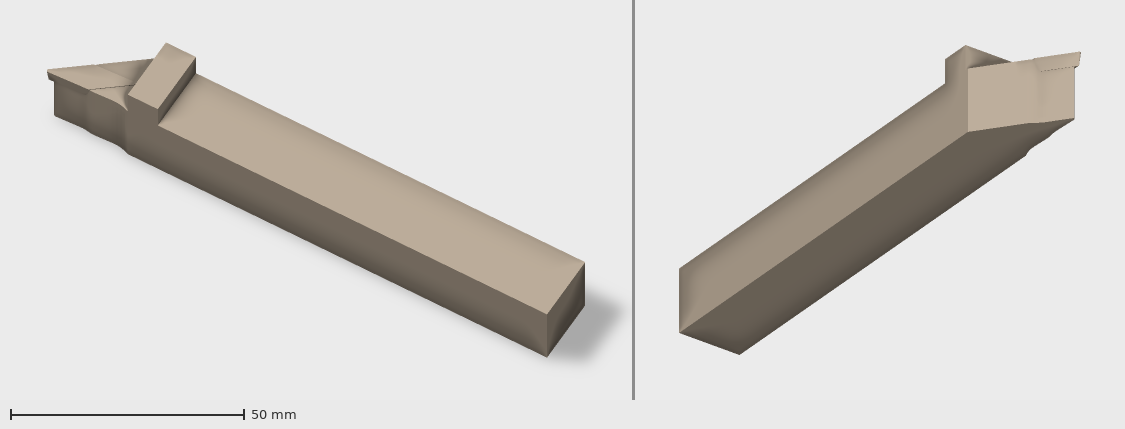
import cadquery as cq
import math

LENGTH = 125.0
SHANK_SIZE = 16.0
TOTAL_HEIGHT = 22.0
STOP_START = 20.4
STOP_WIDTH = 7.5

POINT_ANGLE = 35.0
LEAD_ANGLE = 3.0
RHOMBUS_HEIGHT = 6.4
INSERT_THICKNESS = 3.2
NOSE_RADIUS = 0.4
CLEARANCE_ANGLE = 7.0

HEAD_HEIGHT = 15.8
SEAT_SETBACK = 0.5
FRONT_STANDOUT = 0.0
BACK_STANDOUT = 0.1
BLEND_START = 8.9
BLEND_END = 12.8
FRONT_RUNOUT_X = 16.1
TIP_BACK_X = 1.4
TIP_FRONT_X = 1.8

FRONT_ANGLE = math.radians(LEAD_ANGLE)
BACK_ANGLE = math.radians(LEAD_ANGLE + POINT_ANGLE)
HALF_POINT = math.radians(POINT_ANGLE / 2)
AXIS_ANGLE = (FRONT_ANGLE + BACK_ANGLE) / 2
EDGE_LENGTH = RHOMBUS_HEIGHT / math.sin(2 * HALF_POINT)
NOSE_OFFSET = NOSE_RADIUS / math.sin(HALF_POINT)
SHARP_X = NOSE_RADIUS - NOSE_OFFSET * math.cos(AXIS_ANGLE)
SHARP_Y = NOSE_RADIUS - NOSE_OFFSET * math.sin(AXIS_ANGLE)
BLEND_MIDDLE = (BLEND_START + BLEND_END) / 2
FRONT_MIDDLE_OUT = (FRONT_STANDOUT - SEAT_SETBACK) / 2
BACK_MIDDLE_OUT = (BACK_STANDOUT - SEAT_SETBACK) / 2


def from_corner(angle, along, left=0.0):
    """Point measured from the sharp corner, along a direction and to its left."""
    x = SHARP_X + along * math.cos(angle) - left * math.sin(angle)
    y = SHARP_Y + along * math.sin(angle) + left * math.cos(angle)
    return x, y


def front_point(along, outward):
    return from_corner(FRONT_ANGLE, along, -outward)


def back_point(along, outward):
    return from_corner(BACK_ANGLE, along, outward)


def front_at_x(x, outward):
    """Point at a given x on a line parallel to the front insert edge."""
    along = (x - SHARP_X - outward * math.sin(FRONT_ANGLE)) / math.cos(FRONT_ANGLE)
    return front_point(along, outward)


def back_at_x(x, outward):
    """Point at a given x on a line parallel to the back insert edge."""
    along = (x - SHARP_X + outward * math.sin(BACK_ANGLE)) / math.cos(BACK_ANGLE)
    return back_point(along, outward)


def make_insert():
    """Rhombic plate with rounded acute corners and flanks that taper inward below."""
    corners = [
        from_corner(FRONT_ANGLE, 0),
        front_point(EDGE_LENGTH, 0),
        from_corner(AXIS_ANGLE, 2 * EDGE_LENGTH * math.cos(HALF_POINT)),
        back_point(EDGE_LENGTH, 0),
    ]
    outline = cq.Sketch().polygon(corners + corners[:1])
    outline = outline.vertices("<X or >X").fillet(NOSE_RADIUS).reset()
    return (
        cq.Workplane("XY", origin=(0, 0, SHANK_SIZE))
        .placeSketch(outline)
        .extrude(-INSERT_THICKNESS, taper=CLEARANCE_ANGLE)
    )


def make_shank():
    """Square bar with a raised stop across its front end."""
    shank = cq.Workplane("XY").box(LENGTH - STOP_START, SHANK_SIZE, SHANK_SIZE, centered=False)
    stop = cq.Workplane("XY").box(STOP_WIDTH, SHANK_SIZE, TOTAL_HEIGHT, centered=False)
    return shank.union(stop).translate((STOP_START, 0, 0))


def make_head():
    """Pointed nose whose flanks step outward, in S-curves, behind the insert."""
    back_corner_along = (
        SHANK_SIZE - SHARP_Y - BACK_STANDOUT * math.cos(BACK_ANGLE)
    ) / math.sin(BACK_ANGLE)
    return (
        cq.Workplane("XY")
        .moveTo(*back_at_x(TIP_BACK_X, -SEAT_SETBACK))
        .lineTo(*front_at_x(TIP_FRONT_X, -SEAT_SETBACK))
        .lineTo(*front_point(BLEND_START, -SEAT_SETBACK))
        .tangentArcPoint(front_point(BLEND_MIDDLE, FRONT_MIDDLE_OUT), relative=False)
        .tangentArcPoint(front_point(BLEND_END, FRONT_STANDOUT), relative=False)
        .lineTo(*front_at_x(FRONT_RUNOUT_X, FRONT_STANDOUT))
        .tangentArcPoint((STOP_START, 0), relative=False)
        .lineTo(STOP_START, SHANK_SIZE)
        .lineTo(*back_point(back_corner_along, BACK_STANDOUT))
        .lineTo(*back_point(BLEND_END, BACK_STANDOUT))
        .tangentArcPoint(back_point(BLEND_MIDDLE, BACK_MIDDLE_OUT), relative=False)
        .tangentArcPoint(back_point(BLEND_START, -SEAT_SETBACK), relative=False)
        .close()
        .extrude(HEAD_HEIGHT)
    )


insert = make_insert()
holder = make_shank().union(make_head()).cut(insert)

result = cq.Compound.makeCompound([holder.solids().val(), insert.val()])